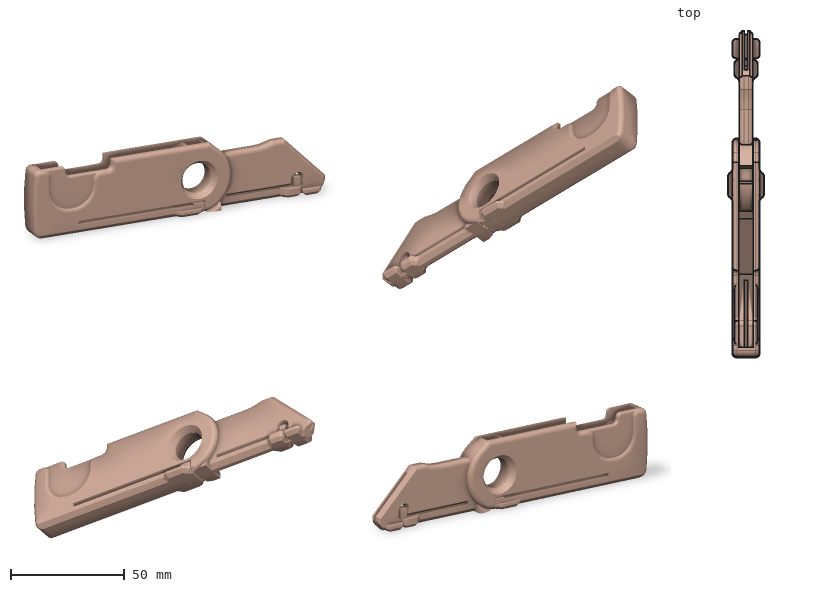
import cadquery as cq
import math


TOP = 16.04
BOTTOM = -TOP
EDGE_ROUND = 2.0
BOTTOM_CHAMFER = 2.0
SLIT_TOP = -9.9
SLIT_BOTTOM = -11.8
SLIT_SAG = 0.5
PIVOT_HOLE_D = 13.8
PLAY = 0.3
WING_SWELL = 3.5

HANDLE_HALF = 6.0
CORE_HALF = 5.0
CORE_ROUND = 1.0
CHANNEL_HALF = 3.2
NOSE_R = TOP
NOSE_TOP_Y = 5.6
REAR_MID_Y = -80.47
REAR_END_Y = -79.4
REAR_BOTTOM_ROUND = 4.3
REAR_TOP_ROUND = 2.6
NOTCH_FRONT_Y = -42.1
NOTCH_REAR_Y = -64.3
NOTCH_Z = 11.29
NOTCH_ROUND = 2.2
THUMB_Y = -61.7
THUMB_BOTTOM_Z = -3.5
THUMB_HALF = 10.2
THUMB_FLAT = 1.5
THUMB_FRONT_ROUND = 3.6
THUMB_REAR_ROUND = 3.2
COUNTERSINK_R = 8.9
FLOOR_Z = -10.8
STEP_Y = -19.3
STEP_RISE = 0.6
RAMP_FOOT_Y = -43.7
RAMP_HEAD_Y = -65.0
RAMP_HEAD_ROUND = 3.3
CHANNEL_REAR_Y = -75.8
EDGE_SLOT_HALF = 0.7
EDGE_SLOT_START_Y = -46.3
HANDLE_SLIT_FRONT_Y = 3.0
HANDLE_SLIT_REAR_Y = -59.0
LEVER_GAP = 0.5
TOOTH_REAR_Y = -2.5
TOOTH_TOP = -11.0
HANDLE_WING_HALF = 7.98
HANDLE_WING_REAR_Y = -11.8
HANDLE_WING_TOP = -13.2
HANDLE_WING_CHAMFER = 1.65

CARRIER_HALF = 3.0
TANG_R = 16.0
LOCK_NOTCH_MOUTH = 4.0
LOCK_NOTCH_ROOT = 2.9
LOCK_NOTCH_Z = 10.6
SPINE_Z = 9.0
HUMP_Z = 10.71
HUMP_REAR_Y = 37.7
HUMP_FRONT_Y = 43.6
SWEEP_END_Y = 28.9
TIP_Y = 143.8 + REAR_MID_Y
TIP_LOW_Z = -11.0
CHIN_Y = 59.5
TIP_CHAMFER = 1.5
BLADE_SLOT_HALF = 0.7
BLADE_SLOT_REAR_Y = 46.2
BLADE_SLOT_Z = -13.1
HOOK_Y = 49.3
HOOK_Z = -8.2
HOOK_R = 1.7
HOOK_FLARE = 1.5
LATCH_FRONT_Y = 50.8
LATCH_GAP = 0.5
POST_REAR_Y = 47.9
POST_TOP = -7.5
CARRIER_SLIT_REAR_Y = 14.5
TIP_WING_HALF = 6.0
TIP_WING_TOP = -13.1
TIP_WING_FRONT_Y = 59.8
TIP_WING_CHAMFER = 1.6
TIP_WING_ROUND = 1.7
LATCH_WING_ROUND = 2.2
LATCH_WING_CHAMFER = 1.5
LATCH_WING_HALF = 5.2
LATCH_WING_REAR_Y = 41.0
STOP_HALF = 6.0
STOP_FRONT_Y = 10.8
STOP_REAR_Y = 4.3
STOP_TOP = -11.5
STOP_BEVEL = 1.5


def across(profile, half_width):
    """Extrude a closed Y-Z outline symmetrically to both sides of the X = 0 plane."""
    return profile.extrude(half_width, both=True)


def block(half_width, y_low, y_high, z_low, z_high):
    """Box centred on X = 0."""
    return cq.Workplane("XY").box(
        2 * half_width, y_high - y_low, z_high - z_low, centered=(True, False, False)
    ).translate((0, y_low, z_low))


def disc(radius, half_width):
    """Disc on the pivot axis."""
    return across(cq.Workplane("YZ").circle(radius), half_width)


def bottom_chamfered(body, half_width, y_low, y_high):
    """Bevel both long bottom edges of a body of the given half width."""
    flat = half_width - BOTTOM_CHAMFER
    for side in (-1, 1):
        wedge = (
            cq.Workplane("XZ", origin=(0, y_high, 0))
            .moveTo(side * flat, BOTTOM)
            .lineTo(side * (half_width + BOTTOM_CHAMFER), BOTTOM)
            .lineTo(side * (half_width + BOTTOM_CHAMFER), BOTTOM + 2 * BOTTOM_CHAMFER)
            .close()
            .extrude(y_high - y_low)
        )
        body = body.cut(wedge)
    return body


def vee_slit(half_width, y_low, y_high):
    """Slit through the full width whose roof falls towards the middle."""
    return (
        cq.Workplane("XZ", origin=(0, y_high, 0))
        .moveTo(-half_width, SLIT_BOTTOM)
        .lineTo(-half_width, SLIT_TOP)
        .lineTo(0, SLIT_BOTTOM)
        .lineTo(half_width, SLIT_TOP)
        .lineTo(half_width, SLIT_BOTTOM)
        .lineTo(0, SLIT_BOTTOM - SLIT_SAG)
        .close()
        .extrude(y_high - y_low)
    )


def tapered_wing(body_half, wing_half, y_front, y_rear, top):
    """Finger plate across the bottom; each side swells out of the body in two S curves."""
    forward = [(0, 1), (0, 1)]
    backward = [(0, -1), (0, -1)]
    return (
        cq.Workplane("XY", origin=(0, 0, BOTTOM))
        .moveTo(-body_half, y_rear)
        .spline([(-wing_half, y_rear + WING_SWELL)], tangents=forward, includeCurrent=True)
        .lineTo(-wing_half, y_front - WING_SWELL)
        .spline([(-body_half, y_front)], tangents=forward, includeCurrent=True)
        .lineTo(body_half, y_front)
        .spline([(wing_half, y_front - WING_SWELL)], tangents=backward, includeCurrent=True)
        .lineTo(wing_half, y_rear + WING_SWELL)
        .spline([(body_half, y_rear)], tangents=backward, includeCurrent=True)
        .close()
        .extrude(top - BOTTOM)
    )


def handle_plate(rear_opening, half_width):
    """Plate with a round nose and a bulged rear end; its corners are left sharp.

    rear_opening lists the Y-Z corners from the floor of the thumb notch up to the top edge.
    """
    tangent_angle = math.pi / 2 - 2 * math.atan2(NOSE_TOP_Y, NOSE_R)
    tangent_point = (NOSE_R * math.cos(tangent_angle), NOSE_R * math.sin(tangent_angle))
    outline = (
        cq.Workplane("YZ")
        .moveTo(0, BOTTOM)
        .threePointArc((NOSE_R, 0), tangent_point)
        .lineTo(NOSE_TOP_Y, TOP)
        .lineTo(NOTCH_FRONT_Y, TOP)
        .lineTo(NOTCH_FRONT_Y, NOTCH_Z)
    )
    for corner in rear_opening:
        outline = outline.lineTo(*corner)
    outline = outline.lineTo(REAR_END_Y, TOP).threePointArc((REAR_MID_Y, 0), (REAR_END_Y, BOTTOM)).close()
    return across(outline, half_width)


def round_corner(plate, corner, radius):
    """Round the edge along X that passes through a Y-Z corner."""
    return plate.edges("|X").edges(cq.selectors.NearestToPointSelector((0, *corner))).fillet(radius)


def rounded_plate(plate, corners, edge_radius):
    """Round the listed corners, then the rims of both side faces."""
    for corner, radius in corners:
        plate = round_corner(plate, corner, radius)
    return plate.faces("<X or >X").edges().fillet(edge_radius)


def handle_shell():
    """Core plate with the thumb notch, under an outer layer that also leaves out the thumb dish."""
    shared_corners = [
        ((NOTCH_FRONT_Y, NOTCH_Z), NOTCH_ROUND),
        ((REAR_END_Y, TOP), REAR_TOP_ROUND),
        ((REAR_END_Y, BOTTOM), REAR_BOTTOM_ROUND),
    ]
    notch_rear = [(NOTCH_REAR_Y, NOTCH_Z), (NOTCH_REAR_Y, TOP)]
    core_corners = shared_corners + [(corner, NOTCH_ROUND) for corner in notch_rear]
    core = rounded_plate(handle_plate(notch_rear, CORE_HALF), core_corners, CORE_ROUND)

    dish_front = (THUMB_Y + THUMB_HALF, NOTCH_Z)
    dish_rear = (THUMB_Y - THUMB_HALF, TOP)
    dish_low_front = (THUMB_Y + THUMB_HALF, THUMB_BOTTOM_Z)
    dish_low_rear = (THUMB_Y - THUMB_HALF, THUMB_BOTTOM_Z)
    dish_opening = [dish_front, dish_low_front, dish_low_rear, dish_rear]
    dish_floor_round = THUMB_HALF - THUMB_FLAT / 2
    outer_corners = shared_corners + [
        (dish_front, THUMB_FRONT_ROUND),
        (dish_low_front, dish_floor_round),
        (dish_low_rear, dish_floor_round),
        (dish_rear, THUMB_REAR_ROUND),
    ]
    outer = rounded_plate(handle_plate(dish_opening, HANDLE_HALF), outer_corners, EDGE_ROUND)
    return bottom_chamfered(core.union(outer), HANDLE_HALF, REAR_MID_Y, NOSE_R)


def handle_channel():
    """Space between the walls: round at the pivot, then a floor with a ramp for the folded tip."""
    ramp_head_z = FLOOR_Z + RAMP_FOOT_Y - RAMP_HEAD_Y
    trough = across(
        cq.Workplane("YZ")
        .moveTo(0, FLOOR_Z + STEP_RISE)
        .lineTo(STEP_Y, FLOOR_Z + STEP_RISE)
        .lineTo(STEP_Y, FLOOR_Z)
        .lineTo(RAMP_FOOT_Y, FLOOR_Z)
        .lineTo(RAMP_HEAD_Y, ramp_head_z)
        .lineTo(CHANNEL_REAR_Y, ramp_head_z)
        .lineTo(CHANNEL_REAR_Y, TOP)
        .lineTo(0, TOP)
        .close(),
        CHANNEL_HALF,
    )
    trough = round_corner(trough, (RAMP_HEAD_Y, ramp_head_z), RAMP_HEAD_ROUND)
    front = block(CHANNEL_HALF, 0, NOSE_R + PLAY, BOTTOM, TOP)
    slot_floor_z = FLOOR_Z + RAMP_FOOT_Y - EDGE_SLOT_START_Y
    edge_slot = block(EDGE_SLOT_HALF, CHANNEL_REAR_Y, EDGE_SLOT_START_Y, slot_floor_z, TOP)
    return trough.union(front).union(disc(TANG_R + PLAY, CHANNEL_HALF)).union(edge_slot)


def pivot_countersinks():
    """Cones through the walls, from the outer faces to the sides of the channel."""
    cone = cq.Solid.makeCone(
        COUNTERSINK_R,
        PIVOT_HOLE_D / 2,
        HANDLE_HALF - CHANNEL_HALF,
        pnt=cq.Vector(-HANDLE_HALF, 0, 0),
        dir=cq.Vector(1, 0, 0),
    )
    left = cq.Workplane("XY").add(cone)
    return left.union(left.mirror("YZ"))


def make_handle():
    """Handle with its channel, pivot holes and the lock lever cut free along the bottom."""
    lever_front_y = HANDLE_SLIT_FRONT_Y - LEVER_GAP
    handle = handle_shell()
    wing = tapered_wing(
        HANDLE_HALF, HANDLE_WING_HALF, lever_front_y, HANDLE_WING_REAR_Y, HANDLE_WING_TOP
    )
    handle = handle.union(wing.faces("<Z").edges().chamfer(HANDLE_WING_CHAMFER))
    handle = handle.cut(handle_channel()).cut(pivot_countersinks())
    handle = handle.cut(vee_slit(HANDLE_HALF, HANDLE_SLIT_REAR_Y, HANDLE_SLIT_FRONT_Y))
    handle = handle.cut(
        block(HANDLE_WING_HALF, lever_front_y, HANDLE_SLIT_FRONT_Y, BOTTOM, SLIT_BOTTOM)
    )
    tooth = block(HANDLE_HALF, TOOTH_REAR_Y, lever_front_y, BOTTOM, TOOTH_TOP)
    return handle.union(bottom_chamfered(tooth, HANDLE_HALF, TOOTH_REAR_Y, lever_front_y))


def carrier_bar():
    """Flat bar from the pivot to the slanted tip, with a rounded spine and a bevelled tip."""
    tip_high_z = HUMP_Z - (TIP_Y - HUMP_FRONT_Y)
    drop = HUMP_Z - SPINE_Z
    run = HUMP_REAR_Y - SWEEP_END_Y
    sweep_r = (run**2 + drop**2) / (2 * drop)
    bar = across(
        cq.Workplane("YZ")
        .moveTo(0, BOTTOM)
        .lineTo(CHIN_Y, BOTTOM)
        .lineTo(TIP_Y, TIP_LOW_Z)
        .lineTo(TIP_Y, tip_high_z)
        .lineTo(HUMP_FRONT_Y, HUMP_Z)
        .lineTo(HUMP_REAR_Y, HUMP_Z)
        .radiusArc((SWEEP_END_Y, SPINE_Z), sweep_r)
        .lineTo(0, SPINE_Z)
        .close(),
        CARRIER_HALF,
    )
    bar = bar.faces("<X or >X").edges(cq.selectors.BoxSelector(
        (-CARRIER_HALF - 1.5, HUMP_FRONT_Y + 1.5, TIP_LOW_Z), (CARRIER_HALF + 1.5, TIP_Y + 1.5, HUMP_Z)
    )).chamfer(TIP_CHAMFER)
    for side in (-CARRIER_HALF, CARRIER_HALF):
        bar = bar.edges(cq.selectors.BoxSelector(
            (side - 0.1, 1.5, SPINE_Z - 0.1), (side + 0.1, HUMP_FRONT_Y, HUMP_Z + 0.1)
        )).fillet(EDGE_ROUND)
    return bottom_chamfered(bar, CARRIER_HALF, 0, TIP_Y)


def lock_notches():
    """Opposite tapered notches in the rim of the tang, one for each locked position."""
    upper = across(
        cq.Workplane("YZ")
        .moveTo(-LOCK_NOTCH_ROOT, LOCK_NOTCH_Z)
        .lineTo(LOCK_NOTCH_ROOT, LOCK_NOTCH_Z)
        .lineTo(LOCK_NOTCH_MOUTH, TOP)
        .lineTo(-LOCK_NOTCH_MOUTH, TOP)
        .close(),
        CARRIER_HALF,
    )
    return upper.union(upper.mirror("XY"))


def hook_opening():
    """Arched opening over the latch post, flaring from the middle to both sides."""
    flare_angle = math.degrees(math.atan2(HOOK_FLARE, CARRIER_HALF))
    right = (
        cq.Workplane("YZ")
        .moveTo(HOOK_Y - HOOK_R, SLIT_BOTTOM)
        .lineTo(HOOK_Y + HOOK_R, SLIT_BOTTOM)
        .lineTo(HOOK_Y + HOOK_R, HOOK_Z)
        .threePointArc((HOOK_Y, HOOK_Z + HOOK_R), (HOOK_Y - HOOK_R, HOOK_Z))
        .close()
        .extrude(CARRIER_HALF, taper=-flare_angle)
    )
    both = right.union(right.mirror("YZ"))
    return both.intersect(block(CARRIER_HALF, 0, TIP_Y, SLIT_BOTTOM, SPINE_Z))


def latch_wing():
    """Finger plate at the free end of the latch arm, square in front with round corners."""
    wing = tapered_wing(
        CARRIER_HALF, LATCH_WING_HALF, LATCH_FRONT_Y + WING_SWELL, LATCH_WING_REAR_Y, SLIT_BOTTOM
    )
    wing = wing.intersect(block(LATCH_WING_HALF, 0, LATCH_FRONT_Y, BOTTOM, TOP))
    wing = wing.faces(">Y").edges("|Z").fillet(LATCH_WING_ROUND)
    return wing.faces("<Z").edges().chamfer(LATCH_WING_CHAMFER)


def tip_wing():
    """Finger plate under the tip, ending at the gap in front of the latch."""
    wing = block(TIP_WING_HALF, LATCH_FRONT_Y + LATCH_GAP, TIP_WING_FRONT_Y, BOTTOM, TIP_WING_TOP)
    wing = wing.edges("|Z").fillet(TIP_WING_ROUND)
    return wing.faces("<Z").edges().chamfer(TIP_WING_CHAMFER)


def nose_stop():
    """Block under the round nose of the handle, cut to its curve with a bevelled outer rim."""
    stop = block(STOP_HALF, STOP_REAR_Y, STOP_FRONT_Y, BOTTOM, STOP_TOP)
    clear_r = NOSE_R + PLAY / 2
    stop = stop.cut(disc(clear_r, STOP_HALF))
    rim = cq.Workplane("XY").add(cq.Solid.makeCone(
        clear_r,
        clear_r + STOP_BEVEL,
        STOP_BEVEL,
        pnt=cq.Vector(STOP_HALF - STOP_BEVEL, 0, 0),
        dir=cq.Vector(1, 0, 0),
    ))
    return stop.cut(rim).cut(rim.mirror("YZ"))


def make_carrier():
    """Blade carrier: tang, bar, stop and finger plates, with the latch arm cut free."""
    carrier = carrier_bar().union(disc(TANG_R, CARRIER_HALF)).cut(lock_notches())
    carrier = carrier.union(nose_stop()).union(tip_wing())
    carrier = carrier.cut(block(
        BLADE_SLOT_HALF, LATCH_FRONT_Y, TIP_Y, BLADE_SLOT_Z, HUMP_Z
    ))
    carrier = carrier.cut(block(
        BLADE_SLOT_HALF, BLADE_SLOT_REAR_Y, LATCH_FRONT_Y, SLIT_BOTTOM, HUMP_Z
    ))
    carrier = carrier.cut(hook_opening())
    carrier = carrier.cut(vee_slit(CARRIER_HALF, CARRIER_SLIT_REAR_Y, HOOK_Y))
    carrier = carrier.cut(block(
        TIP_WING_HALF, LATCH_FRONT_Y, LATCH_FRONT_Y + LATCH_GAP, BOTTOM, HOOK_Z
    ))
    carrier = carrier.union(latch_wing())
    post = block(CARRIER_HALF, POST_REAR_Y, LATCH_FRONT_Y, SLIT_BOTTOM - SLIT_SAG, POST_TOP)
    carrier = carrier.union(post)
    return carrier.cut(disc(PIVOT_HOLE_D / 2, CARRIER_HALF))


handle = make_handle()
carrier = make_carrier()
result = cq.Compound.makeCompound([handle.val(), carrier.val()])